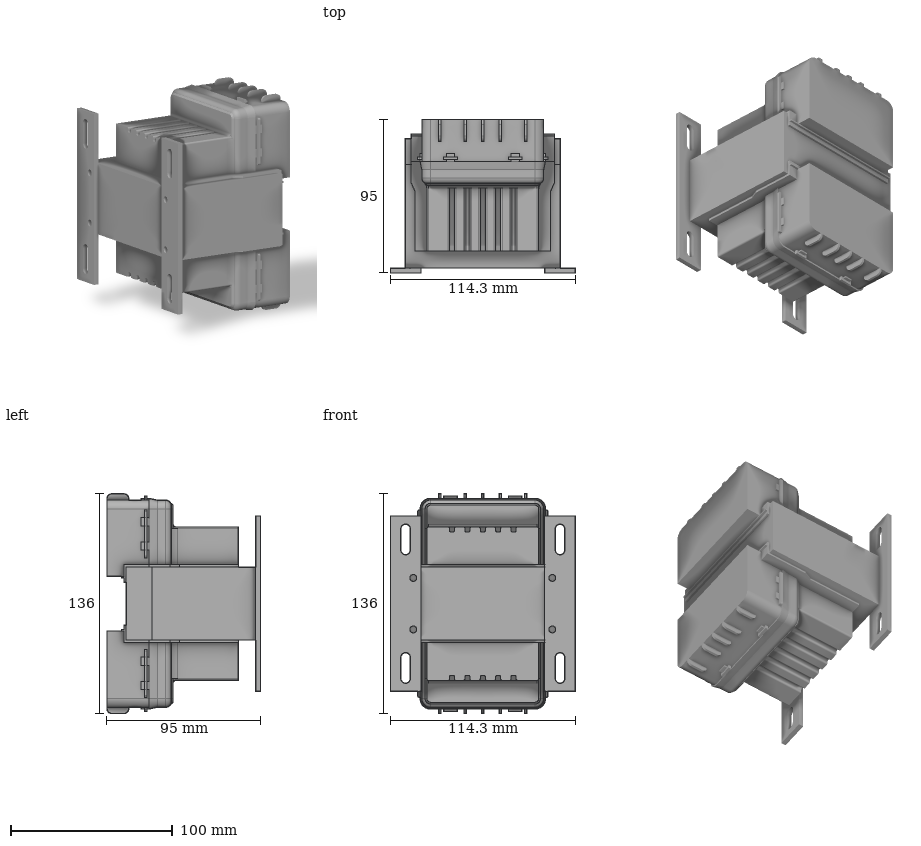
import cadquery as cq
import math


OVERALL_WIDTH = 114.3
BAR_WIDTH = 19.0
BAR_THICKNESS = 3.1
BAR_LENGTH = 108.5
SLOT_X = 47.7
SLOT_Z = 39.7
SLOT_LENGTH = 18.8
SLOT_WIDTH = 5.7
RIVET_HOLE_X = 43.0
RIVET_HOLE_Z = 15.9
RIVET_HOLE_DIAMETER = 4.2

CORE_WIDTH = 96.0
CORE_HALF_STACK = 22.5
YOKE_DEPTH = 16.0
CORE_DEPTH = 79.9
CORE_BACK_Y = BAR_THICKNESS + CORE_DEPTH
YOKE_FRONT_Y = CORE_BACK_Y - YOKE_DEPTH

FLANGE_THICKNESS = 1.5
FLANGE_TOP_Z = CORE_HALF_STACK + FLANGE_THICKNESS
FLANGE_FRONT_Y = 13.6
FLANGE_NARROW_HALF = 41.7
FLANGE_WIDE_HALF = 44.3
FLANGE_NARROW_END_Y = 50.1
FLANGE_WIDE_START_Y = 56.0
FLANGE_BACK_Y = CORE_BACK_Y + FLANGE_THICKNESS
LIP_BOTTOM_Z = 13.2
RIDGE_TOP_Z = 16.9
RIDGE_HEIGHT = 1.0
RIDGE_DEPTH = 1.5

BACK_Y = 95.0
SPLIT_Y = 69.0
HOOD_HALF_WIDTH = 37.6
HOOD_TOP_Z = 64.0
HOOD_CORNER_RADIUS = 5.5
COVER_BOTTOM_Z = RIDGE_TOP_Z

FLARE = 1.1
FLARE_DEPTH = 5.2
CAP_ROUND_START_Y = 58.7
CAP_ROUND_RADIUS = 3.5
CAP_FRONT_Y = 54.1
CAP_FACE_INSET = 2.0
CAP_FACE_CHAMFER = 1.1

COIL_BOX_FRONT_Y = 13.7
COIL_BOX_HALF_WIDTH = HOOD_HALF_WIDTH - CAP_FACE_INSET - CAP_FACE_CHAMFER
COIL_BOX_TOP_Z = 47.4
COIL_BOX_EDGE_RADIUS = 1.1
COVE_RADIUS = 1.6
SIDE_COVE_FRONT_Y = 51.5
GROOVE_COUNT = 5
GROOVE_PITCH = 9.5
GROOVE_WIDTH = 3.1
GROOVE_DEPTH = 3.1
GROOVE_RADIUS = 1.0

FIN_POSITIONS = (-26.5, -10.9, 0, 10.9, 26.5)
FIN_THICKNESS = 1.5
FIN_LENGTH = 13.6
FIN_TOP_Z = 68.0
FIN_RADIUS = 3.3

FINGER_WIDTH = 5.2
FINGER_TIP_Y = 73.8
LOOP_FRONT_Y = 70.1
LOOP_THICKNESS = 1.6
LOOP_HEIGHT = 2.6
TOP_LOOP_X = 20.0
TOP_LOOP_LENGTH = 8.4
SIDE_LOOP_Z = 43.1
SIDE_LOOP_LENGTH = 29.6
SIDE_FINGER_OFFSET = 7.5
SIDE_LOOP_CORNER = 1.1


def block(x_range, y_range, z_range):
    """Box between the given limits on each axis."""
    (x0, x1), (y0, y1), (z0, z1) = x_range, y_range, z_range
    return cq.Workplane("XY").box(x1 - x0, y1 - y0, z1 - z0, centered=False).translate((x0, y0, z0))


def wide_block(half_width, y_range, z_range):
    """Box centred on X = 0."""
    return block((-half_width, half_width), y_range, z_range)


def rounded_prism(inset, start_y, depth, taper=0):
    """Hood outline, inset from the cover's outer faces, extruded along +Y from start_y.

    The outline is symmetric about Z = 0; callers keep only the upper part.
    """
    return (
        cq.Workplane("XZ", origin=(0, start_y, 0))
        .sketch()
        .rect(2 * (HOOD_HALF_WIDTH - inset), 2 * (HOOD_TOP_Z - inset))
        .vertices()
        .fillet(HOOD_CORNER_RADIUS - inset)
        .finalize()
        .extrude(-depth, taper=taper)
    )


def keep_above(body, bottom_z):
    """Part of the body above the given height."""
    return body.intersect(wide_block(CORE_WIDTH, (0, BACK_Y), (bottom_z, FIN_TOP_Z)))


def mounting_bar(side):
    center_x = side * (OVERALL_WIDTH - BAR_WIDTH) / 2
    bar = block(
        (center_x - BAR_WIDTH / 2, center_x + BAR_WIDTH / 2),
        (0, BAR_THICKNESS),
        (-BAR_LENGTH / 2, BAR_LENGTH / 2),
    )
    cutters = cq.Workplane("XZ")
    slots = (
        cutters.pushPoints([(side * SLOT_X, SLOT_Z), (side * SLOT_X, -SLOT_Z)])
        .slot2D(SLOT_LENGTH, SLOT_WIDTH, 90)
        .extrude(-BAR_THICKNESS)
    )
    holes = (
        cutters.pushPoints([(side * RIVET_HOLE_X, RIVET_HOLE_Z), (side * RIVET_HOLE_X, -RIVET_HOLE_Z)])
        .circle(RIVET_HOLE_DIAMETER / 2)
        .extrude(-BAR_THICKNESS)
    )
    return bar.cut(slots).cut(holes)


def core_part(y_range):
    return wide_block(CORE_WIDTH / 2, y_range, (-CORE_HALF_STACK, CORE_HALF_STACK))


def shroud_flange():
    """Flat flange on the core, widening at its shoulders toward the cover."""
    right_edge = [
        (FLANGE_NARROW_HALF, FLANGE_FRONT_Y),
        (FLANGE_NARROW_HALF, FLANGE_NARROW_END_Y),
        (FLANGE_WIDE_HALF, FLANGE_WIDE_START_Y),
        (FLANGE_WIDE_HALF, SPLIT_Y),
    ]
    left_edge = [(-x, y) for x, y in reversed(right_edge)]
    return (
        cq.Workplane("XY", origin=(0, 0, CORE_HALF_STACK))
        .polyline(right_edge + left_edge)
        .close()
        .extrude(FLANGE_THICKNESS)
    )


def shroud_cap():
    """Rounded cap with a flared rim under the cover and a raised front face."""
    rounded_front_y = CAP_ROUND_START_Y - CAP_ROUND_RADIUS
    rounded = rounded_prism(0, rounded_front_y, SPLIT_Y - rounded_front_y)
    rounded = rounded.faces("<Y").edges().fillet(CAP_ROUND_RADIUS)
    face = rounded_prism(CAP_FACE_INSET, CAP_FRONT_Y, SPLIT_Y - CAP_FRONT_Y)
    face = face.faces("<Y").edges().chamfer(CAP_FACE_CHAMFER)
    flare_angle = math.degrees(math.atan(FLARE / FLARE_DEPTH))
    rim = rounded_prism(0, SPLIT_Y - FLARE_DEPTH, FLARE_DEPTH, -flare_angle)
    return keep_above(rounded.union(face).union(rim), CORE_HALF_STACK)


def coil_groove():
    """Cutter for the middle groove: rounded floor corners and rounded mouth edges."""
    half = GROOVE_WIDTH / 2
    floor_z = COIL_BOX_TOP_Z - GROOVE_DEPTH
    mouth_half = half + GROOVE_RADIUS
    diagonal = GROOVE_RADIUS * (1 - math.sqrt(0.5))
    cove_end_y = CAP_FRONT_Y - COVE_RADIUS
    return (
        cq.Workplane("XZ", origin=(0, cove_end_y, 0))
        .moveTo(-mouth_half, COIL_BOX_TOP_Z)
        .threePointArc(
            (-half - diagonal, COIL_BOX_TOP_Z - diagonal),
            (-half, COIL_BOX_TOP_Z - GROOVE_RADIUS),
        )
        .lineTo(-half, floor_z + GROOVE_RADIUS)
        .threePointArc((-half + diagonal, floor_z + diagonal), (-half + GROOVE_RADIUS, floor_z))
        .lineTo(half - GROOVE_RADIUS, floor_z)
        .threePointArc((half - diagonal, floor_z + diagonal), (half, floor_z + GROOVE_RADIUS))
        .lineTo(half, COIL_BOX_TOP_Z - GROOVE_RADIUS)
        .threePointArc((half + diagonal, COIL_BOX_TOP_Z - diagonal), (mouth_half, COIL_BOX_TOP_Z))
        .close()
        .extrude(cove_end_y - COIL_BOX_FRONT_Y)
    )


def top_cove():
    """Concave round between the top of the coil box and the cap face."""
    half_width = COIL_BOX_HALF_WIDTH - COIL_BOX_EDGE_RADIUS
    arc_offset = COVE_RADIUS * (1 - math.sqrt(0.5))
    return (
        cq.Workplane("YZ", origin=(-half_width, 0, 0))
        .moveTo(CAP_FRONT_Y, COIL_BOX_TOP_Z)
        .lineTo(CAP_FRONT_Y - COVE_RADIUS, COIL_BOX_TOP_Z)
        .threePointArc(
            (CAP_FRONT_Y - arc_offset, COIL_BOX_TOP_Z + arc_offset),
            (CAP_FRONT_Y, COIL_BOX_TOP_Z + COVE_RADIUS),
        )
        .close()
        .extrude(2 * half_width)
    )


def side_cove():
    """Concave blend from the coil box's +X side, where it starts flush, out to the cap."""
    cap_x = COIL_BOX_HALF_WIDTH + CAP_FACE_CHAMFER
    cap_y = CAP_FRONT_Y + CAP_FACE_CHAMFER
    length = cap_y - SIDE_COVE_FRONT_Y
    radius = (length**2 + CAP_FACE_CHAMFER**2) / (2 * CAP_FACE_CHAMFER)
    height = COIL_BOX_TOP_Z - COIL_BOX_EDGE_RADIUS - CORE_HALF_STACK
    return (
        cq.Workplane("XY", origin=(0, 0, CORE_HALF_STACK))
        .moveTo(COIL_BOX_HALF_WIDTH, SIDE_COVE_FRONT_Y)
        .radiusArc((cap_x, cap_y), radius)
        .lineTo(COIL_BOX_HALF_WIDTH, cap_y)
        .close()
        .extrude(height)
    )


def coil_box():
    """Box over the coil end, with grooves in its top and coves where it meets the cap."""
    box = wide_block(COIL_BOX_HALF_WIDTH, (COIL_BOX_FRONT_Y, SPLIT_Y), (CORE_HALF_STACK, COIL_BOX_TOP_Z))
    box = box.edges("|Y and >Z").fillet(COIL_BOX_EDGE_RADIUS)
    for index in range(GROOVE_COUNT):
        offset = (index - (GROOVE_COUNT - 1) / 2) * GROOVE_PITCH
        box = box.cut(coil_groove().translate((offset, 0, 0)))
    right_cove = side_cove()
    return box.union(top_cove()).union(right_cove).union(right_cove.mirror("YZ"))


def snap_fingers():
    """Flat fingers that rise from the flared rim, along the cover's top and sides."""
    fingers = cq.Workplane("XY")
    half = FINGER_WIDTH / 2
    y_range = (SPLIT_Y, FINGER_TIP_Y)
    for side in (-1, 1):
        x = side * TOP_LOOP_X
        fingers = fingers.add(block((x - half, x + half), y_range, (HOOD_TOP_Z, HOOD_TOP_Z + FLARE)))
        side_x = sorted((side * HOOD_HALF_WIDTH, side * (HOOD_HALF_WIDTH + FLARE)))
        for z in (SIDE_LOOP_Z - SIDE_FINGER_OFFSET, SIDE_LOOP_Z + SIDE_FINGER_OFFSET):
            fingers = fingers.add(block(side_x, y_range, (z - half, z + half)))
    return fingers


def coil_shroud():
    shroud = shroud_flange().union(shroud_cap()).union(coil_box())
    for finger in snap_fingers().vals():
        shroud = shroud.union(cq.Workplane(finger))
    return shroud


def cover_flange():
    """Flange on the core with a lip hooked behind it and a small ridge on the lip."""
    plate = wide_block(FLANGE_WIDE_HALF, (SPLIT_Y, FLANGE_BACK_Y), (CORE_HALF_STACK, FLANGE_TOP_Z))
    lip = wide_block(FLANGE_WIDE_HALF, (CORE_BACK_Y, FLANGE_BACK_Y), (LIP_BOTTOM_Z, FLANGE_TOP_Z))
    ridge = wide_block(
        FLANGE_WIDE_HALF,
        (CORE_BACK_Y, FLANGE_BACK_Y + RIDGE_DEPTH),
        (RIDGE_TOP_Z - RIDGE_HEIGHT, RIDGE_TOP_Z),
    )
    return plate.union(lip).union(ridge)


def cover_hood():
    """Rounded hood that hangs down behind the core at the back."""
    hood = keep_above(rounded_prism(0, SPLIT_Y, BACK_Y - SPLIT_Y), COVER_BOTTOM_Z)
    core_clearance = wide_block(CORE_WIDTH, (0, CORE_BACK_Y), (0, CORE_HALF_STACK))
    return hood.cut(core_clearance)


def cover_fin(x):
    fin = block(
        (x - FIN_THICKNESS / 2, x + FIN_THICKNESS / 2),
        (BACK_Y - FIN_LENGTH, BACK_Y),
        (HOOD_TOP_Z, FIN_TOP_Z),
    )
    return fin.edges("|X and >Z").fillet(FIN_RADIUS)


def snap_loops():
    """Bars on the cover's top and sides that the fingers pass under."""
    y_range = (LOOP_FRONT_Y, LOOP_FRONT_Y + LOOP_THICKNESS)
    loops = []
    for side in (-1, 1):
        x = side * TOP_LOOP_X
        half = TOP_LOOP_LENGTH / 2
        loops.append(block((x - half, x + half), y_range, (HOOD_TOP_Z, HOOD_TOP_Z + LOOP_HEIGHT)))

        side_x = sorted((side * HOOD_HALF_WIDTH, side * (HOOD_HALF_WIDTH + LOOP_HEIGHT)))
        half = SIDE_LOOP_LENGTH / 2
        side_loop = block(side_x, y_range, (SIDE_LOOP_Z - half, SIDE_LOOP_Z + half))
        outer_edges = "|Y and >X" if side > 0 else "|Y and <X"
        loops.append(side_loop.edges(outer_edges).fillet(SIDE_LOOP_CORNER))
    return loops


def terminal_cover():
    cover = cover_flange().union(cover_hood())
    for x in FIN_POSITIONS:
        cover = cover.union(cover_fin(x))
    for loop in snap_loops():
        cover = cover.union(loop)
    for finger in snap_fingers().vals():
        cover = cover.cut(cq.Workplane(finger))
    return cover


def opposite_end(body):
    """Same body on the -Z end."""
    return body.rotate((0, 0, 0), (0, 1, 0), 180)


core_body = core_part((BAR_THICKNESS, YOKE_FRONT_Y))
core_yoke = core_part((YOKE_FRONT_Y, CORE_BACK_Y))
bars = [mounting_bar(side) for side in (-1, 1)]

shroud_top = coil_shroud()
cover_top = terminal_cover()
shrouds = [shroud_top, opposite_end(shroud_top)]
covers = [cover_top, opposite_end(cover_top)]

bodies = [core_body, core_yoke, *bars, *shrouds, *covers]
result = cq.Compound.makeCompound([body.val() for body in bodies])